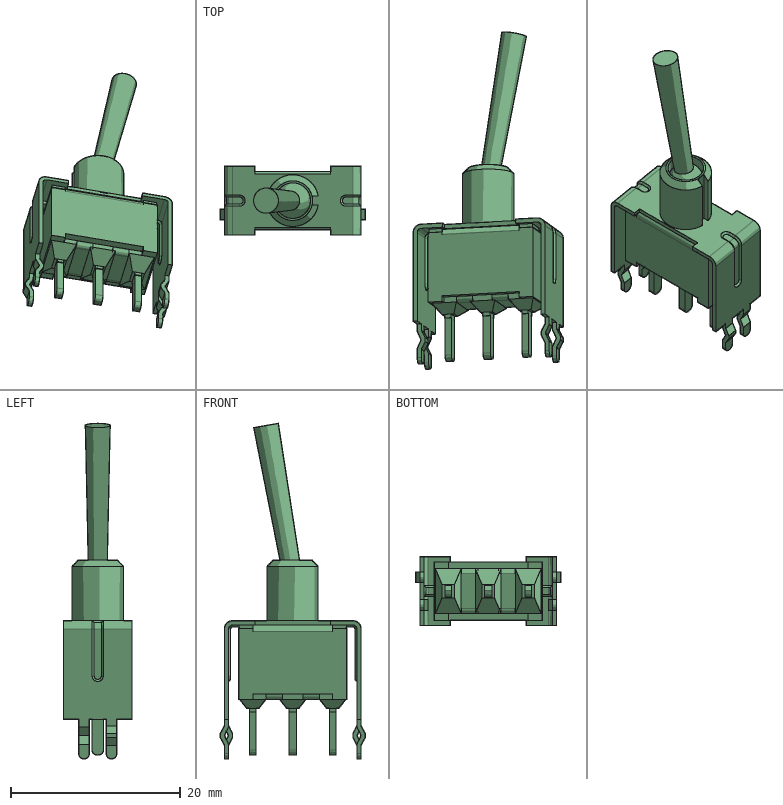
import cadquery as cq
import math


TILT = 10.0
TOTAL_HEIGHT = 39.72
BAT_TIP_DIAMETER = 2.98
BAT_ROOT_DIAMETER = 2.22
BALL_DIAMETER = 4.2
PIVOT_Z = 21.53

BUSHING_DIAMETER = 6.1
BUSHING_TOP_Z = 23.5
BUSHING_CHAMFER = 0.7
KEYWAY_WIDTH = 1.07
KEYWAY_RADIUS = 2.35

BRACKET_WIDTH = 16.2
BRACKET_DEPTH = 8.15
BRACKET_TOP_Z = 16.35
BRACKET_BOTTOM_Z = 4.7
SHEET = 0.5
BEND_RADIUS = 1.0
NOTCH_LENGTH = 8.98
NOTCH_DEPTH = 0.9

BEAD_WIDTH = 1.3
BEAD_DEPTH = 0.25
BEAD_SLOPE = 45.0
BEAD_END_X = 5.65
BEAD_END_Z = 9.18

LEG_WIDTH = 1.27
LEG_Y = 1.63
KINK_OFFSET = 0.48
KINK_Z = 2.8
KINK_CREST = 0.48
KINK_CONVEX_LENGTH = 2.3
KINK_CONCAVE_LENGTH = 2.05

HOUSING_WIDTH = 12.83
HOUSING_DEPTH = 6.9
HOUSING_BOTTOM_Z = 7.05
CLIP_LENGTH = 9.45
CLIP_RADIUS = 0.75
SHOULDER_HEIGHT = 0.45
SHOULDER_STEP = 0.08
LOWER_NOTCH_HEIGHT = 0.68
LOWER_NOTCH_DEPTH = 0.8
LOWER_CLIP_START = 1.2
LOWER_CLIP_END = 3.18
LOWER_CLIP_RADIUS = 0.6

PIN_PITCH = 4.73
OUTER_PIN_THICKNESS = 0.8
MIDDLE_PIN_THICKNESS = 0.9
PIN_WIDTH = 1.4
PIN_TIP_Z = 0.48
PIN_TIP_RADIUS = 0.6
SHOULDER_WIDTH = 1.6
SHOULDER_Z = 5.55
MOUND_BASE = 3.05
MOUND_END = 1.45
MOUND_HEIGHT = 1.05

HALF_WIDTH = BRACKET_WIDTH / 2
BEND_X = HALF_WIDTH - BEND_RADIUS
BEND_Z = BRACKET_TOP_Z - BEND_RADIUS
PLATE_UNDERSIDE_Z = BRACKET_TOP_Z - SHEET
HOUSING_HEIGHT = PLATE_UNDERSIDE_Z - HOUSING_BOTTOM_Z
NOTCHED_DEPTH = HOUSING_DEPTH - 2 * LOWER_NOTCH_DEPTH


def box(width, depth, height, x, y, bottom_z):
    """Box centred on (x, y) and standing on bottom_z."""
    return cq.Workplane("XY", origin=(x, y, bottom_z)).box(
        width, depth, height, centered=(True, True, False)
    )


def both_sides(solid):
    """The solid together with its mirror image across the YZ plane."""
    return solid.union(solid.mirror("YZ"))


def make_lever():
    """Bat fused to the ball, tilted about the ball centre."""
    tilt = math.radians(TILT)
    tip_radius = BAT_TIP_DIAMETER / 2
    length = (TOTAL_HEIGHT - PIVOT_Z - tip_radius * math.sin(tilt)) / math.cos(tilt)
    bat = (
        cq.Workplane("XY")
        .circle(BAT_ROOT_DIAMETER / 2)
        .workplane(offset=length)
        .circle(tip_radius)
        .loft()
    )
    ball = cq.Workplane("XY").sphere(BALL_DIAMETER / 2)
    return bat.union(ball).rotate((0, 0, 0), (0, 1, 0), -TILT).translate((0, 0, PIVOT_Z))


def make_bushing():
    """Chamfered sleeve with a keyway on its +X side."""
    height = BUSHING_TOP_Z - BRACKET_TOP_Z
    sleeve = (
        cq.Workplane("XY", origin=(0, 0, BRACKET_TOP_Z))
        .circle(BUSHING_DIAMETER / 2)
        .extrude(height)
        .faces(">Z")
        .chamfer(BUSHING_CHAMFER)
    )
    keyway_depth = BUSHING_DIAMETER / 2 - KEYWAY_RADIUS
    keyway_x = KEYWAY_RADIUS + keyway_depth / 2
    return sleeve.cut(box(keyway_depth, KEYWAY_WIDTH, height, keyway_x, 0, BRACKET_TOP_Z))


def make_lever_socket():
    """Bore above the pivot, ending in a round seat that fits the ball."""
    radius = BALL_DIAMETER / 2
    bore = cq.Workplane("XY", origin=(0, 0, PIVOT_Z)).circle(radius).extrude(BUSHING_TOP_Z - PIVOT_Z)
    seat = cq.Workplane("XY", origin=(0, 0, PIVOT_Z)).sphere(radius)
    return bore.union(seat)


def make_sheet():
    """Inverted U of sheet metal with rounded bends and notched long edges."""

    def arch(inset):
        width = BRACKET_WIDTH - 2 * inset
        height = BRACKET_TOP_Z - BRACKET_BOTTOM_Z - inset
        block = box(width, BRACKET_DEPTH, height, 0, 0, BRACKET_BOTTOM_Z)
        return block.edges("|Y and >Z").fillet(BEND_RADIUS - inset)

    sheet = arch(0).cut(arch(SHEET))
    for side in (-1, 1):
        notch_y = side * (BRACKET_DEPTH - NOTCH_DEPTH) / 2
        sheet = sheet.cut(box(NOTCH_LENGTH, NOTCH_DEPTH, SHEET, 0, notch_y, PLATE_UNDERSIDE_Z))
    return sheet


def make_bead(depth_below_surface):
    """Mirrored pair of tapered beads, starting the given depth below the outer sheet surface."""
    start = depth_below_surface
    floor_width = BEAD_WIDTH - 2 * BEAD_DEPTH * math.tan(math.radians(BEAD_SLOPE))
    radius = BEND_RADIUS - start

    top_run = 2 * (BEND_X - BEAD_END_X)
    top = (
        cq.Workplane("XY", origin=(BEND_X, 0, BRACKET_TOP_Z - start))
        .slot2D(top_run, BEAD_WIDTH)
        .extrude(-BEAD_DEPTH, taper=BEAD_SLOPE)
    )
    top = top.intersect(box(top_run, BEAD_WIDTH, BRACKET_TOP_Z, BEND_X - top_run / 2, 0, 0))

    side_run = 2 * (BEND_Z - BEAD_END_Z)
    side = (
        cq.Workplane("YZ", origin=(HALF_WIDTH - start, 0, BEND_Z))
        .slot2D(side_run, BEAD_WIDTH, 90)
        .extrude(-BEAD_DEPTH, taper=BEAD_SLOPE)
    )
    side = side.intersect(box(BRACKET_WIDTH, BEAD_WIDTH, BEND_Z, HALF_WIDTH, 0, 0))

    bend = (
        cq.Workplane("YZ", origin=(BEND_X, 0, BEND_Z))
        .polyline([
            (-BEAD_WIDTH / 2, radius),
            (BEAD_WIDTH / 2, radius),
            (floor_width / 2, radius - BEAD_DEPTH),
            (-floor_width / 2, radius - BEAD_DEPTH),
        ])
        .close()
        .revolve(90, (0, 0), (1, 0))
    )
    return both_sides(top.union(bend).union(side))


def make_leg(y, direction):
    """Leg on the +X side, kinked outwards (direction 1) or inwards (direction -1)."""
    middle_x = HALF_WIDTH - SHEET / 2
    convex_x = middle_x + direction * SHEET / 2
    concave_x = middle_x - direction * SHEET / 2
    kink = direction * KINK_OFFSET
    outline = (
        cq.Workplane("XZ", origin=(0, y + LEG_WIDTH / 2, 0))
        .polyline([
            (convex_x, BRACKET_BOTTOM_Z),
            (convex_x, KINK_Z + KINK_CONVEX_LENGTH / 2),
            (convex_x + kink, KINK_Z + KINK_CREST / 2),
            (convex_x + kink, KINK_Z - KINK_CREST / 2),
            (convex_x, KINK_Z - KINK_CONVEX_LENGTH / 2),
            (convex_x, 0),
            (concave_x, 0),
            (concave_x, KINK_Z - KINK_CONCAVE_LENGTH / 2),
            (concave_x + kink, KINK_Z),
            (concave_x, KINK_Z + KINK_CONCAVE_LENGTH / 2),
            (concave_x, BRACKET_BOTTOM_Z),
        ])
        .close()
        .extrude(LEG_WIDTH)
    )
    prism_length = 2 * BRACKET_BOTTOM_Z
    prism = (
        cq.Workplane("YZ", origin=(0, y, prism_length / 2))
        .slot2D(prism_length, LEG_WIDTH, 90)
        .extrude(BRACKET_WIDTH)
    )
    return outline.intersect(prism)


def make_bracket():
    bracket = make_sheet().union(make_bead(SHEET)).cut(make_bead(0))
    for y, direction in ((-LEG_Y, 1), (LEG_Y, -1)):
        bracket = bracket.union(both_sides(make_leg(y, direction)))
    return bracket


def make_edge_rounding(length, x, corner_y, z, z_side, radius):
    """Material outside a rounded edge along X, through the corner point (corner_y, z)."""
    y_side = math.copysign(1, corner_y)
    centre_y = corner_y - y_side * radius
    centre_z = z - z_side * radius
    diagonal = radius * math.sqrt(0.5)
    return (
        cq.Workplane("YZ", origin=(x - length / 2, 0, 0))
        .moveTo(corner_y, z)
        .lineTo(corner_y, centre_z)
        .threePointArc((centre_y + y_side * diagonal, centre_z + z_side * diagonal), (centre_y, z))
        .close()
        .extrude(length)
    )


def make_shoulder_step():
    """Shallow step around the housing top, interrupted along the clip length."""
    bottom_z = PLATE_UNDERSIDE_Z - SHOULDER_HEIGHT
    ring = box(HOUSING_WIDTH, HOUSING_DEPTH, SHOULDER_HEIGHT, 0, 0, bottom_z)
    core_width = HOUSING_WIDTH - 2 * SHOULDER_STEP
    core_depth = HOUSING_DEPTH - 2 * SHOULDER_STEP
    ring = ring.cut(box(core_width, core_depth, SHOULDER_HEIGHT, 0, 0, bottom_z))
    return ring.cut(box(CLIP_LENGTH, HOUSING_DEPTH, SHOULDER_HEIGHT, 0, 0, bottom_z))


def make_housing():
    """Block with rounded upper edges and notched, partly rounded lower edges."""
    housing = box(HOUSING_WIDTH, HOUSING_DEPTH, HOUSING_HEIGHT, 0, 0, HOUSING_BOTTOM_Z)
    housing = housing.cut(make_shoulder_step())
    lower_length = LOWER_CLIP_END - LOWER_CLIP_START
    lower_x = (LOWER_CLIP_START + LOWER_CLIP_END) / 2
    for y_side in (-1, 1):
        face_y = y_side * HOUSING_DEPTH / 2
        housing = housing.cut(
            make_edge_rounding(CLIP_LENGTH, 0, face_y, PLATE_UNDERSIDE_Z, 1, CLIP_RADIUS)
        )
        notch_y = face_y - y_side * LOWER_NOTCH_DEPTH / 2
        housing = housing.cut(
            box(CLIP_LENGTH, LOWER_NOTCH_DEPTH, LOWER_NOTCH_HEIGHT, 0, notch_y, HOUSING_BOTTOM_Z)
        )
        floor_y = y_side * NOTCHED_DEPTH / 2
        for x in (-lower_x, lower_x):
            housing = housing.cut(
                make_edge_rounding(lower_length, x, floor_y, HOUSING_BOTTOM_Z, -1, LOWER_CLIP_RADIUS)
            )
    return housing


def make_terminal(x, thickness):
    """Flat pin with a rounded tip, rising out of a tapered sealing mound."""
    pin = box(thickness, PIN_WIDTH, HOUSING_BOTTOM_Z - PIN_TIP_Z, x, 0, PIN_TIP_Z)
    pin = pin.edges("|X and <Z").fillet(PIN_TIP_RADIUS)
    shoulder = box(thickness, SHOULDER_WIDTH, HOUSING_BOTTOM_Z - SHOULDER_Z, x, 0, SHOULDER_Z)
    mound = (
        cq.Workplane("XY", origin=(x, 0, HOUSING_BOTTOM_Z))
        .rect(MOUND_BASE, NOTCHED_DEPTH)
        .workplane(offset=-MOUND_HEIGHT)
        .rect(MOUND_END, SHOULDER_WIDTH)
        .loft()
    )
    return pin.union(shoulder).union(mound)


def make_switch_body():
    """Housing, bracket, bushing and terminals as one solid with a socket for the lever."""
    body = make_housing().union(make_bracket()).union(make_bushing())
    for x, thickness in (
        (-PIN_PITCH, OUTER_PIN_THICKNESS),
        (0, MIDDLE_PIN_THICKNESS),
        (PIN_PITCH, OUTER_PIN_THICKNESS),
    ):
        body = body.union(make_terminal(x, thickness))
    return body.cut(make_lever_socket())


lever = make_lever()
switch_body = make_switch_body()

result = cq.Compound.makeCompound([switch_body.solids().val(), lever.solids().val()])